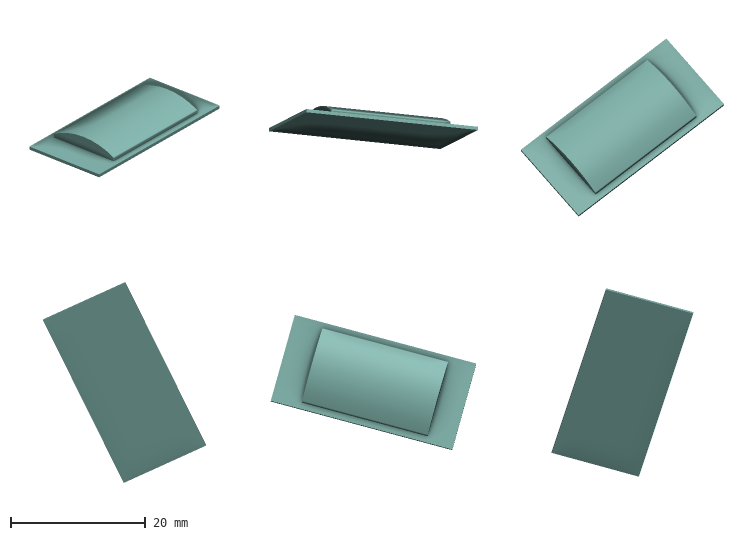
import cadquery as cq

PLATE_WIDTH = 13.5
PLATE_LENGTH = 27.9
PLATE_THICKNESS = 0.5

TOTAL_HEIGHT = 2.6
COVER_WIDTH = 11.58
COVER_LENGTH = 19.33
REAR_MARGIN = 4.05
SIDE_WALL_HEIGHT = 0.59
EDGE_RADIUS = 0.2


def make_plate():
    """Flat rectangular plate with its underside at Z = 0."""
    return cq.Workplane("XY").box(
        PLATE_WIDTH, PLATE_LENGTH, PLATE_THICKNESS, centered=(True, True, False)
    )


def make_cover():
    """Bar with a circular-arc top, extruded along Y and rounded along its long upper edges."""
    half_width = COVER_WIDTH / 2
    rear_y = PLATE_LENGTH / 2 - REAR_MARGIN
    shoulder_z = PLATE_THICKNESS + SIDE_WALL_HEIGHT
    profile = (
        cq.Workplane("XZ", origin=(0, rear_y, 0))
        .moveTo(-half_width, PLATE_THICKNESS)
        .lineTo(half_width, PLATE_THICKNESS)
        .lineTo(half_width, shoulder_z)
        .threePointArc((0, TOTAL_HEIGHT), (-half_width, shoulder_z))
        .close()
    )
    long_upper_edges = cq.selectors.BoxSelector(
        (-PLATE_WIDTH, -PLATE_LENGTH, shoulder_z - EDGE_RADIUS),
        (PLATE_WIDTH, PLATE_LENGTH, shoulder_z + EDGE_RADIUS),
    )
    cover = profile.extrude(COVER_LENGTH)
    return cover.edges("|Y").edges(long_upper_edges).fillet(EDGE_RADIUS)


plate = make_plate()
cover = make_cover()

result = cq.Compound.makeCompound([plate.val(), cover.val()])